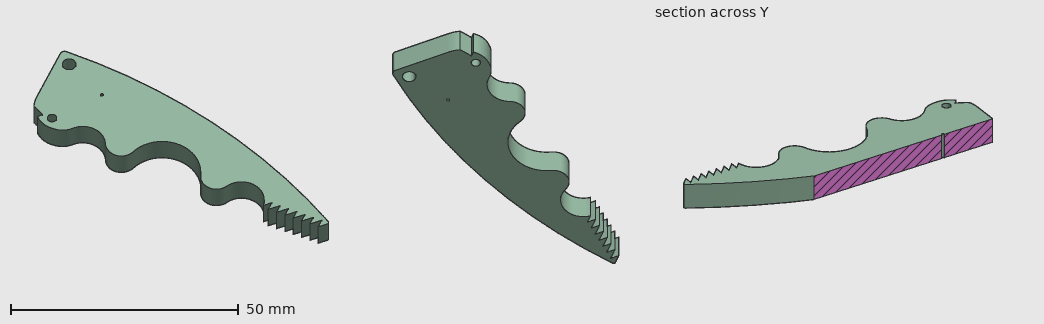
import cadquery as cq
import math

length = 72.6
height = 22.0
thickness = 6.0

grip_x = 33.55
grip_spacing = 19.0
middle_grip_radius = 8.5
outer_grip_radius = 5.0
lobe_radius = 3.5

heel_bottom = 1.45
heel_radius = 5.0
heel_tip = (2.3, 3.1)
heel_middle = (3.9, 1.95)
notch_root = (3.2, 4.0)

left_edge_bottom = 8.0
left_corner_end = (0.4, 5.45)

tooth_count = 7
tooth_row = 12.0
tooth_pitch = tooth_row / (tooth_count - 1)
first_tooth_x = 58.95

back_corner_radius = 1.0
back_middle = (34.85, 17.85)
nose_bottom = 1.45
nose_top = 2.25

holes = [
    (3.0, 19.0, 3.0),
    (5.45, 4.0, 2.0),
    (12.9, 14.2, 0.6),
]


def point_between(start, end, distance):
    """Point at the given distance from start towards end."""
    ratio = distance / math.dist(start, end)
    return (start[0] + ratio * (end[0] - start[0]), start[1] + ratio * (end[1] - start[1]))


first_grip = (grip_x - grip_spacing, 0)
middle_grip = (grip_x, 0)
last_grip = (grip_x + grip_spacing, 0)

middle_reach = middle_grip_radius + lobe_radius
outer_reach = outer_grip_radius + lobe_radius
lobe_offset = (grip_spacing**2 + middle_reach**2 - outer_reach**2) / (2 * grip_spacing)
lobe_y = math.sqrt(middle_reach**2 - lobe_offset**2)
first_lobe = (grip_x - lobe_offset, lobe_y)
last_lobe = (grip_x + lobe_offset, lobe_y)

heel_y = heel_bottom + heel_radius
heel_reach = math.sqrt((outer_grip_radius + heel_radius) ** 2 - heel_y**2)
heel = (first_grip[0] - heel_reach, heel_y)

flank_shift = first_tooth_x - tooth_pitch - last_grip[0]
flank_rise = (math.sqrt(2 * outer_grip_radius**2 - flank_shift**2) - flank_shift) / 2
flank_start = (last_grip[0] + flank_shift + flank_rise, flank_rise)


def add_grips(outline):
    """Heel underside, scallops and lobes, ending at the first tooth flank."""
    outline = outline.threePointArc(heel_middle, (heel[0], heel_bottom))
    outline = outline.radiusArc(point_between(first_grip, heel, outer_grip_radius), -heel_radius)
    outline = outline.threePointArc(
        (first_grip[0], outer_grip_radius), point_between(first_grip, first_lobe, outer_grip_radius)
    )
    outline = outline.threePointArc(
        (first_lobe[0], lobe_y - lobe_radius), point_between(middle_grip, first_lobe, middle_grip_radius)
    )
    outline = outline.threePointArc(
        (grip_x, middle_grip_radius), point_between(middle_grip, last_lobe, middle_grip_radius)
    )
    outline = outline.threePointArc(
        (last_lobe[0], lobe_y - lobe_radius), point_between(last_grip, last_lobe, outer_grip_radius)
    )
    return outline.threePointArc((last_grip[0], outer_grip_radius), flank_start)


def add_teeth(outline):
    """Each tooth: flank up to the root, then straight down to the next point."""
    for index in range(tooth_count):
        tooth_x = first_tooth_x + index * tooth_pitch
        outline = outline.lineTo(tooth_x, tooth_pitch).lineTo(tooth_x, 0)
    return outline


def make_plate():
    """Profile drawn from the lower left corner along the grips and back over the spine."""
    last_tooth_x = first_tooth_x + tooth_row
    outline = cq.Workplane("XY").moveTo(0, left_edge_bottom)
    corner_radius = math.dist((0, left_edge_bottom), left_corner_end) ** 2 / (2 * left_corner_end[0])
    outline = outline.radiusArc(left_corner_end, -corner_radius)
    outline = outline.lineTo(*notch_root).lineTo(*heel_tip)
    outline = add_teeth(add_grips(outline))
    nose_x = last_tooth_x + nose_bottom
    outline = outline.lineTo(nose_x, nose_bottom)
    outline = outline.threePointArc((length, (nose_bottom + nose_top) / 2), (nose_x, nose_top))
    outline = outline.threePointArc(back_middle, (back_corner_radius, height))
    outline = outline.radiusArc((0, height - back_corner_radius), -back_corner_radius)
    return outline.close().extrude(thickness)


result = make_plate()
for hole_x, hole_y, diameter in holes:
    cutter = cq.Workplane("XY").center(hole_x, hole_y).circle(diameter / 2).extrude(thickness)
    result = result.cut(cutter)